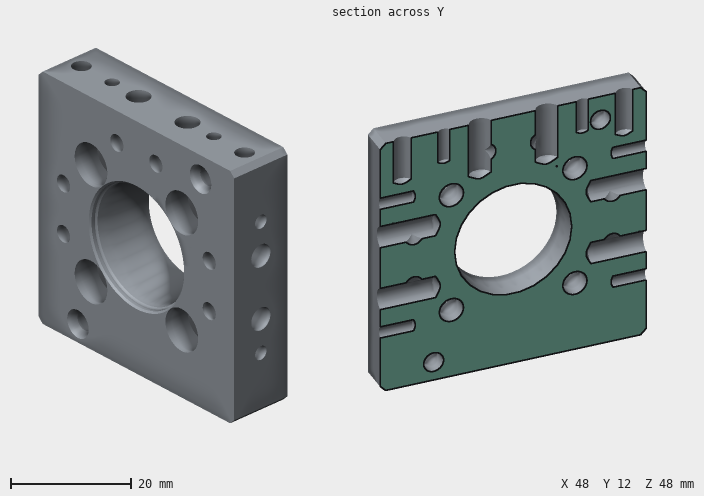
import cadquery as cq
import math

SIDE = 48.0
THICKNESS = 12.0
CORNER_CHAMFER = 1.0

BORE_MOUTH_DIAMETER = 23.4
BORE_BACK_DIAMETER = 20.0
BORE_CHAMFER = 0.35
BORE_LIP_LENGTH = 0.7

SCREW_SPACING = 22.25
SCREW_DIAMETER = 4.25
HEAD_DIAMETER = 8.0
HEAD_DEPTH = 5.0

PIN_CIRCLE_DIAMETER = 50.0
PIN_ANGLES = (51.0, 235.0)
PIN_DIAMETER = 3.5
PIN_MOUTH_DIAMETER = 5.3
COUNTERSINK_ANGLE = 60

PORT_CIRCLE_DIAMETER = 37.0
PORT_HALF_ANGLE = 15
PORT_DIAMETER = 3.2
PORT_DEPTH = 6.8

TOP_SIDE_ANGLE = 90
DRILLED_SIDE_ANGLES = (0, TOP_SIDE_ANGLE, 180)

EDGE_LARGE = (6.0, 4.3, 10.0)
EDGE_SMALL = (12.5, 2.6, 6.0)
EDGE_OUTER = (20.0, 3.45, 8.0)

DRILL_POINT_ANGLE = 118

HALF_SIDE = SIDE / 2
HALF_THICKNESS = THICKNESS / 2
FRONT = -HALF_THICKNESS
BACK = HALF_THICKNESS
INTO_FRONT = cq.Vector(0, 1, 0)


def drilled_hole(diameter, depth, position, direction):
    """Blind drill cutter: straight for the given depth, ending in a drill point."""
    radius = diameter / 2
    point = radius / math.tan(math.radians(DRILL_POINT_ANGLE / 2))
    shank = cq.Solid.makeCylinder(radius, depth, position, direction)
    tip = cq.Solid.makeCone(radius, 0, point, position + direction * depth, direction)
    return shank.fuse(tip)


def front_point(radius, angle):
    """Point on the front face, given by polar coordinates about the bore axis."""
    turn = math.radians(angle)
    return cq.Vector(radius * math.cos(turn), FRONT, radius * math.sin(turn))


def plate():
    block = cq.Workplane("XY").box(SIDE, THICKNESS, SIDE)
    return block.edges("|Y").chamfer(CORNER_CHAMFER)


def bore():
    mouth_radius = BORE_MOUTH_DIAMETER / 2
    lip_radius = mouth_radius - BORE_CHAMFER
    taper_radius = lip_radius - BORE_CHAMFER
    lip_start = FRONT + BORE_CHAMFER
    lip_end = lip_start + BORE_LIP_LENGTH
    profile = [
        (0, FRONT),
        (mouth_radius, FRONT),
        (lip_radius, lip_start),
        (lip_radius, lip_end),
        (taper_radius, lip_end + BORE_CHAMFER),
        (BORE_BACK_DIAMETER / 2, BACK),
        (0, BACK),
    ]
    return cq.Workplane("XY").polyline(profile).close().revolve(360, (0, 0), (0, 1))


def screw_holes():
    centres = cq.Workplane("XZ", origin=(0, FRONT, 0)).rarray(SCREW_SPACING, SCREW_SPACING, 2, 2)
    shanks = centres.circle(SCREW_DIAMETER / 2).extrude(-THICKNESS)
    heads = centres.circle(HEAD_DIAMETER / 2).extrude(-HEAD_DEPTH)
    return shanks.union(heads)


def pin_hole(angle):
    centre = front_point(PIN_CIRCLE_DIAMETER / 2, angle)
    half_angle = math.radians(COUNTERSINK_ANGLE / 2)
    countersink_depth = (PIN_MOUTH_DIAMETER - PIN_DIAMETER) / 2 / math.tan(half_angle)
    shank = cq.Solid.makeCylinder(PIN_DIAMETER / 2, THICKNESS, centre, INTO_FRONT)
    countersink = cq.Solid.makeCone(
        PIN_MOUTH_DIAMETER / 2, PIN_DIAMETER / 2, countersink_depth, centre, INTO_FRONT
    )
    return shank.fuse(countersink)


def edge_holes(side_angle, hole):
    """Mirrored pair of drilled holes in the side whose outward normal is at side_angle."""
    offset, diameter, depth = hole
    turn = math.radians(side_angle)
    outward = cq.Vector(math.cos(turn), 0, math.sin(turn))
    along = cq.Vector(-math.sin(turn), 0, math.cos(turn))
    return [
        drilled_hole(diameter, depth, outward * HALF_SIDE + along * shift, outward * -1)
        for shift in (-offset, offset)
    ]


def ports(side_angle):
    """Pair of blind front holes either side of the middle of one side."""
    return [
        drilled_hole(
            PORT_DIAMETER, PORT_DEPTH, front_point(PORT_CIRCLE_DIAMETER / 2, angle), INTO_FRONT
        )
        for angle in (side_angle - PORT_HALF_ANGLE, side_angle + PORT_HALF_ANGLE)
    ]


result = plate().cut(bore()).cut(screw_holes())

cutters = [pin_hole(angle) for angle in PIN_ANGLES]
for side in DRILLED_SIDE_ANGLES:
    cutters += edge_holes(side, EDGE_LARGE) + edge_holes(side, EDGE_SMALL) + ports(side)
cutters += edge_holes(TOP_SIDE_ANGLE, EDGE_OUTER)

for cutter in cutters:
    result = result.cut(cq.Workplane(cutter))